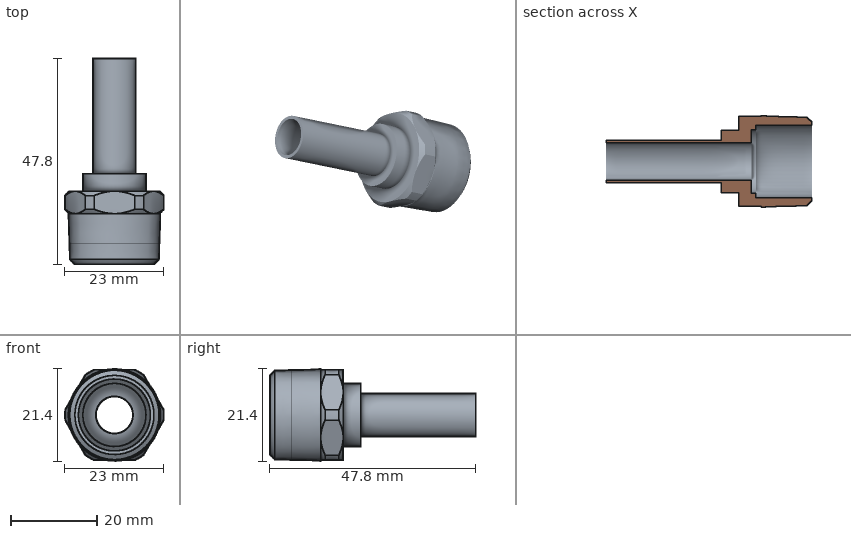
import cadquery as cq
import math


overall_length = 47.8
thread_length = 11.8
gauge_plane = 4.95
lead_chamfer = 1.18
hex_thickness = 5.2
collar_length = 4.1
hex_end = thread_length + hex_thickness
collar_end = hex_end + collar_length

gauge_diameter = 20.955
thread_taper = 1 / 16
collar_diameter = 14.65
tube_diameter = 10.0

across_flats = 21.0
corner_diameter = 23.0
across_corners = across_flats / math.cos(math.radians(30))

mouth_diameter = 16.7
mouth_depth = 13.0
step_diameter = 14.65
step_depth = 14.0
tube_bore = 8.55


def cylinder(diameter, start, end):
    """Solid cylinder on the Y axis between two Y positions."""
    face = cq.Workplane("XZ", origin=(0, start, 0)).circle(diameter / 2)
    return face.extrude(start - end)


def revolved(profile):
    """Turn an outline of (-radius, y) points about the Y axis."""
    outline = cq.Workplane("XY").polyline(profile).close()
    return outline.revolve(360, (0, 0, 0), (0, 1, 0), clean=False)


def thread_radius(y):
    """Radius of the tapered thread envelope, growing towards the hexagon."""
    return (gauge_diameter + thread_taper * (y - gauge_plane)) / 2


def tapered_thread():
    """Plain taper with an edge at the gauge plane and a 45 degree lead-in."""
    chamfer_radius = thread_radius(lead_chamfer)
    return revolved([
        (0, 0),
        (-(chamfer_radius - lead_chamfer), 0),
        (-chamfer_radius, lead_chamfer),
        (-thread_radius(gauge_plane), gauge_plane),
        (-thread_radius(thread_length), thread_length),
        (0, thread_length),
    ])


def hexagon():
    """Hexagon with turned corners and 45 degree chamfers that meet the flats."""
    flat_radius = across_flats / 2
    corner_radius = corner_diameter / 2
    chamfer = corner_radius - flat_radius
    base = cq.Workplane("XZ", origin=(0, thread_length, 0))
    prism = base.polygon(6, across_corners).extrude(-hex_thickness)
    turned_blank = revolved([
        (0, thread_length),
        (-flat_radius, thread_length),
        (-corner_radius, thread_length + chamfer),
        (-corner_radius, hex_end - chamfer),
        (-flat_radius, hex_end),
        (0, hex_end),
    ])
    return prism.intersect(turned_blank)


def bore():
    """Wide mouth and narrower step in the threaded end, then the tube bore."""
    mouth = cylinder(mouth_diameter, 0, mouth_depth)
    step = cylinder(step_diameter, 0, step_depth)
    through_hole = cylinder(tube_bore, 0, overall_length)
    return mouth.union(step).union(through_hole)


collar = cylinder(collar_diameter, hex_end, collar_end)
tube = cylinder(tube_diameter, collar_end, overall_length)

body = tapered_thread()
for section in (hexagon(), collar, tube):
    body = body.union(section, clean=False)
result = body.cut(bore(), clean=False)